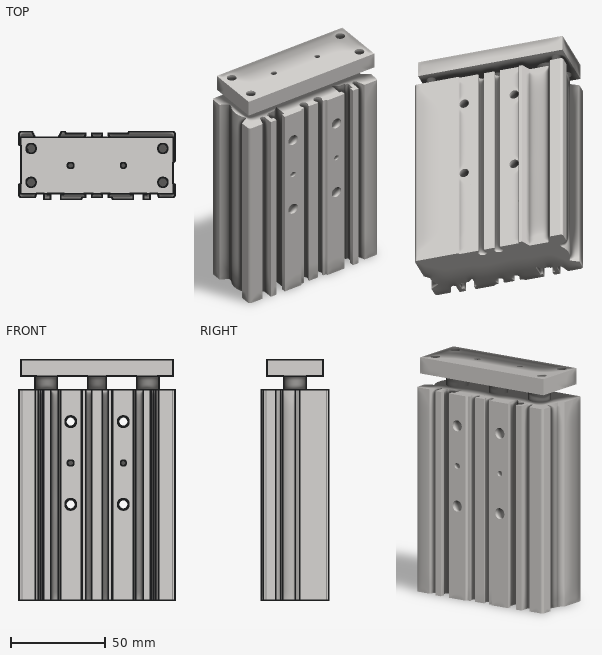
import cadquery as cq


HOUSING_WIDTH = 83.0
HOUSING_DEPTH = 36.0
HOUSING_LENGTH = 112.0
PLATE_WIDTH = 81.0
PLATE_DEPTH = 30.0
PLATE_THICKNESS = 8.8
TOTAL_LENGTH = 128.0

PISTON_ROD_DIAMETER = 10.0
PISTON_ROD_END = 12.0
GUIDE_ROD_DIAMETER = 12.0
GUIDE_ROD_SPACING = 54.0
COVER_DIAMETER = 22.4
COVER_THICKNESS = 10.0

FIXING_SPACING_X = 28.0
FIXING_SPACING_Z = 44.0
FIXING_FROM_TOP = 17.0
FIXING_HOLE_DIAMETER = 5.2
FIXING_THREAD_DIAMETER = 6.0
FIXING_THREAD_DEPTH = 13.0
PIN_FROM_TOP = FIXING_FROM_TOP + FIXING_SPACING_Z / 2
PIN_DIAMETER = 3.0
PIN_SLOT_LENGTH = 3.5
PIN_DEPTH = 6.0
PLATE_HOLE_SPACING_X = 70.0
PLATE_HOLE_SPACING_Y = 18.0
PLATE_HOLE_DIAMETER = 5.2

CORNER_RADIUS = 1.4
FACE_RELIEF = 1.0

SIDE_FLOOR_DEPTH = 4.5
SIDE_TUBE_RADIUS = 12.0
SIDE_MOUTH_FRONT_Y = -10.2
SIDE_FLOOR_FRONT_Y = -7.5
SIDE_MOUTH_BACK_Y = 11.1
SIDE_FLOOR_BACK_Y = 8.4

FRONT_RELIEF_HALF_WIDTH = 8.4
BACK_RELIEF_HALF_WIDTH = 17.0
RELIEF_SLOPE = 0.6

SWITCH_GROOVE_X = 4.5
SWITCH_MOUTH_WIDTH = 3.2
SWITCH_GROOVE_DIAMETER = 4.6
SWITCH_CENTRE_DEPTH = 3.7

TSLOT_X = 22.0
TSLOT_MOUTH_WIDTH = 5.4
TSLOT_WIDTH = 8.4
TSLOT_LIP = 2.6
TSLOT_SHOULDER_DEPTH = 7.0
TSLOT_DEPTH = 7.8
TSLOT_FLOOR_INNER_END = 1.35
TSLOT_POCKET_DROP = 2.5

WEDGE_OUTER_X = 32.9
WEDGE_INNER_X = 28.3
WEDGE_WALL_FOOT_X = 31.1
WEDGE_DEPTH = 6.9
WEDGE_CHAMFER = 0.9

BACK_GROOVE_OUTER_X = -34.5
BACK_GROOVE_INNER_X = -18.9
BACK_GROOVE_TAPER = 2.5
BACK_GROOVE_DEPTH = 5.0

half_width = HOUSING_WIDTH / 2
front_y = -HOUSING_DEPTH / 2
back_y = HOUSING_DEPTH / 2
guide_x = GUIDE_ROD_SPACING / 2
guide_positions = [(-guide_x, 0), (guide_x, 0)]
plate_bottom = TOTAL_LENGTH - PLATE_THICKNESS
cover_bottom = HOUSING_LENGTH - COVER_THICKNESS


def prism(points, side=1):
    """Housing-length bar over an outline; side = -1 reflects the outline to the -X half."""
    outline = [(side * x, y) for x, y in points]
    return cq.Workplane("XY").polyline(outline).close().extrude(HOUSING_LENGTH)


def rods(positions, diameter, bottom, top):
    """Round bars along Z at the given positions."""
    return (cq.Workplane("XY", origin=(0, 0, bottom))
            .pushPoints(positions).circle(diameter / 2).extrude(top - bottom))


def side_groove(side):
    """Groove in a narrow side; the round tube wall bulges out of its floor."""
    floor_x = half_width - SIDE_FLOOR_DEPTH
    outline = [(half_width, SIDE_MOUTH_FRONT_Y), (floor_x, SIDE_FLOOR_FRONT_Y)]
    if side < 0:
        outline += [(floor_x, SIDE_FLOOR_BACK_Y), (half_width, SIDE_MOUTH_BACK_Y)]
    else:
        crest_x = guide_x + SIDE_TUBE_RADIUS
        outline += [(floor_x, 0), (crest_x, 0), (half_width, half_width - crest_x)]
    tube = rods([(side * guide_x, 0)], 2 * SIDE_TUBE_RADIUS, 0, HOUSING_LENGTH)
    return prism(outline, side).cut(tube)


def wedge_groove(side):
    """Groove with one sloping wall, plus the relief of the corner face outside it."""
    relief_y = front_y + FACE_RELIEF
    floor_y = front_y + WEDGE_DEPTH
    outline = [
        (half_width, front_y),
        (half_width, relief_y),
        (WEDGE_OUTER_X, relief_y),
        (WEDGE_WALL_FOOT_X, floor_y - WEDGE_CHAMFER),
        (WEDGE_WALL_FOOT_X - WEDGE_CHAMFER, floor_y),
        (WEDGE_INNER_X + WEDGE_CHAMFER, floor_y),
        (WEDGE_INNER_X, floor_y - WEDGE_CHAMFER),
        (WEDGE_INNER_X, front_y),
    ]
    return prism(outline, side)


def t_slot(side):
    """T-slot whose floor steps up at its outer end and dives at its inner end."""
    inner_mouth = TSLOT_X - TSLOT_MOUTH_WIDTH / 2
    outer_mouth = TSLOT_X + TSLOT_MOUTH_WIDTH / 2
    inner_wall = TSLOT_X - TSLOT_WIDTH / 2
    outer_wall = TSLOT_X + TSLOT_WIDTH / 2
    lip_y = front_y + TSLOT_LIP
    shoulder_y = front_y + TSLOT_SHOULDER_DEPTH
    floor_y = front_y + TSLOT_DEPTH
    outline = [
        (inner_mouth, front_y),
        (inner_mouth, lip_y),
        (inner_wall, lip_y),
        (inner_wall, floor_y + TSLOT_POCKET_DROP),
        (TSLOT_X - TSLOT_FLOOR_INNER_END, floor_y),
        (outer_mouth, floor_y),
        (outer_mouth, shoulder_y),
        (outer_wall, shoulder_y),
        (outer_wall, lip_y),
        (outer_mouth, lip_y),
        (outer_mouth, front_y),
    ]
    return prism(outline, side)


def face_relief(face, half_mouth):
    """Shallow relief with sloping ends; face is -1 at the front and +1 at the back."""
    outer_y = face * back_y
    floor_y = face * (back_y - FACE_RELIEF)
    half_floor = half_mouth - RELIEF_SLOPE
    return prism([(-half_mouth, outer_y), (-half_floor, floor_y), (half_floor, floor_y), (half_mouth, outer_y)])


def switch_groove(side, face):
    """Round groove opening through a narrower mouth."""
    x = side * SWITCH_GROOVE_X
    centre_y = face * (back_y - SWITCH_CENTRE_DEPTH)
    outer_y = face * back_y
    left = x - SWITCH_MOUTH_WIDTH / 2
    right = x + SWITCH_MOUTH_WIDTH / 2
    mouth = prism([(left, centre_y), (right, centre_y), (right, outer_y), (left, outer_y)])
    return mouth.union(rods([(x, centre_y)], SWITCH_GROOVE_DIAMETER, 0, HOUSING_LENGTH))


def back_groove():
    floor_y = back_y - BACK_GROOVE_DEPTH
    return prism([
        (BACK_GROOVE_OUTER_X, back_y),
        (BACK_GROOVE_OUTER_X + BACK_GROOVE_TAPER, floor_y),
        (BACK_GROOVE_INNER_X - BACK_GROOVE_TAPER, floor_y),
        (BACK_GROOVE_INNER_X, back_y),
    ])


def pin_holes(face):
    """Blind locating holes sunk from a face: a slot on the -X side, a round hole on the +X side."""
    x = FIXING_SPACING_X / 2
    slot = face.center(-x, 0).slot2D(PIN_SLOT_LENGTH, PIN_DIAMETER).extrude(-PIN_DEPTH)
    hole = face.center(x, 0).circle(PIN_DIAMETER / 2).extrude(-PIN_DEPTH)
    return slot.union(hole)


def fixing_holes():
    """Four through holes along Y with a wider threaded length at the front."""
    middle_z = HOUSING_LENGTH - PIN_FROM_TOP
    places = (cq.Workplane("XZ", origin=(0, front_y, middle_z))
              .rarray(FIXING_SPACING_X, FIXING_SPACING_Z, 2, 2))
    through = places.circle(FIXING_HOLE_DIAMETER / 2).extrude(-HOUSING_DEPTH)
    thread = places.circle(FIXING_THREAD_DIAMETER / 2).extrude(-FIXING_THREAD_DEPTH)
    return through.union(thread)


def build_housing():
    body = cq.Workplane("XY").rect(HOUSING_WIDTH, HOUSING_DEPTH).extrude(HOUSING_LENGTH)
    for side in (-1, 1):
        body = body.cut(wedge_groove(side)).cut(t_slot(side))
    body = body.edges("|Z and (<X or >X)").fillet(CORNER_RADIUS)
    for face, half_mouth in ((-1, FRONT_RELIEF_HALF_WIDTH), (1, BACK_RELIEF_HALF_WIDTH)):
        body = body.cut(face_relief(face, half_mouth))
        for side in (-1, 1):
            body = body.cut(switch_groove(side, face))
    body = body.cut(back_groove())
    for side in (-1, 1):
        body = body.cut(side_groove(side))

    front_face = cq.Workplane("XZ", origin=(0, front_y, HOUSING_LENGTH - PIN_FROM_TOP))
    body = body.cut(fixing_holes()).cut(pin_holes(front_face))

    body = body.cut(rods(guide_positions, GUIDE_ROD_DIAMETER, 0, HOUSING_LENGTH))
    body = body.cut(rods([(0, 0)], PISTON_ROD_DIAMETER, PISTON_ROD_END, HOUSING_LENGTH))
    return body.cut(rods([(0, 0)], COVER_DIAMETER, cover_bottom, HOUSING_LENGTH))


def build_cover():
    """Ring flush with the front end of the housing, around the piston rod."""
    disc = rods([(0, 0)], COVER_DIAMETER, cover_bottom, HOUSING_LENGTH)
    return disc.cut(rods([(0, 0)], PISTON_ROD_DIAMETER, cover_bottom, HOUSING_LENGTH))


def build_piston_rod():
    return rods([(0, 0)], PISTON_ROD_DIAMETER, PISTON_ROD_END, plate_bottom)


def build_guide_plate():
    base = cq.Workplane("XY", origin=(0, 0, plate_bottom))
    plate = base.rect(PLATE_WIDTH, PLATE_DEPTH).extrude(PLATE_THICKNESS)
    corner_holes = (base.rarray(PLATE_HOLE_SPACING_X, PLATE_HOLE_SPACING_Y, 2, 2)
                    .circle(PLATE_HOLE_DIAMETER / 2).extrude(PLATE_THICKNESS))
    plate = plate.cut(corner_holes)
    plate = plate.cut(pin_holes(cq.Workplane("XY", origin=(0, 0, TOTAL_LENGTH))))
    return plate.union(rods(guide_positions, GUIDE_ROD_DIAMETER, 0, plate_bottom))


housing = build_housing()
cover = build_cover()
piston_rod = build_piston_rod()
guide_plate = build_guide_plate()

bodies = [housing, cover, piston_rod, guide_plate]
result = cq.Compound.makeCompound([body.solids().val() for body in bodies])